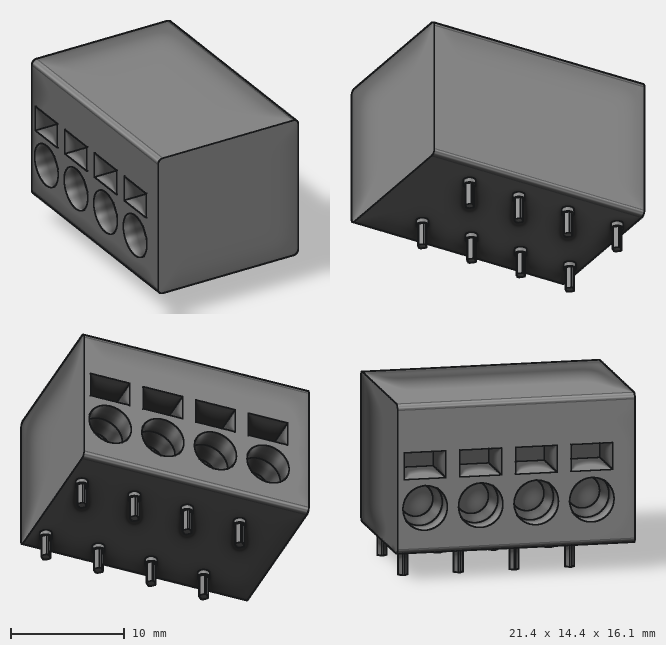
import cadquery as cq

housing_length = 21.4
housing_depth = 14.4
overall_height = 16.1
pin_drop = 2.6
housing_height = overall_height - pin_drop
edge_radius = 0.5

pole_count = 4
pole_pitch = 5.0
first_pole_x = 2.48

entry_height = 4.1
bore_diameter = 4.0
bore_depth = 2.01
floor_diameter = 3.0
taper_depth = 1.5

slot_width = 3.75
slot_height = 2.42
slot_bottom = 6.75
slot_depth = 5.0

first_pin_x = 1.3
front_row_y = 3.65
row_spacing = 8.2
pin_rows = (front_row_y, front_row_y + row_spacing)
collar_diameter = 1.1
collar_height = 0.47
shank_width = 0.83
shank_flat = 0.17


def make_block():
    """Block with its four lengthwise edges rounded."""
    block = cq.Workplane("XY").box(housing_length, housing_depth, housing_height, centered=False)
    return block.edges("|X").fillet(edge_radius)


def make_entry(pole_x):
    """Cutter for one wire entry, revolved about an axis along Y."""
    bore_radius = bore_diameter / 2
    floor_radius = floor_diameter / 2
    floor_depth = bore_depth + taper_depth
    half_profile = (
        cq.Workplane("XY")
        .lineTo(bore_radius, 0)
        .lineTo(bore_radius, bore_depth)
        .lineTo(floor_radius, floor_depth)
        .lineTo(0, floor_depth)
        .close()
    )
    entry = half_profile.revolve(360, (0, 0), (0, 1))
    return entry.translate((pole_x, 0, entry_height))


def make_slot(pole_x):
    """Cutter for one rectangular release slot."""
    slot = cq.Workplane("XY").box(slot_width, slot_depth, slot_height, centered=(True, False, False))
    return slot.translate((pole_x, 0, slot_bottom))


def make_housing():
    """Block with a wire entry and a release slot for every pole."""
    body = make_block()
    for pole in range(pole_count):
        pole_x = first_pole_x + pole * pole_pitch
        body = body.cut(make_entry(pole_x))
        body = body.cut(make_slot(pole_x))
    return body


def make_pin(pin_x, pin_y):
    """One pin hanging from the underside; the cut corners of its shank face along X and Y."""
    reach = shank_width / 2
    half_flat = shank_flat / 2
    shank_outline = [
        (reach, -half_flat),
        (reach, half_flat),
        (half_flat, reach),
        (-half_flat, reach),
        (-reach, half_flat),
        (-reach, -half_flat),
        (-half_flat, -reach),
        (half_flat, -reach),
    ]
    collar = cq.Workplane("XY").circle(collar_diameter / 2).extrude(-collar_height)
    shank = cq.Workplane("XY").polyline(shank_outline).close().extrude(-pin_drop)
    return collar.union(shank).translate((pin_x, pin_y, 0))


housing = make_housing()

pins = []
for pin_y in pin_rows:
    for pole in range(pole_count):
        pin_x = first_pin_x + pole * pole_pitch
        pins.append(make_pin(pin_x, pin_y).val())

result = cq.Compound.makeCompound([housing.val(), *pins])